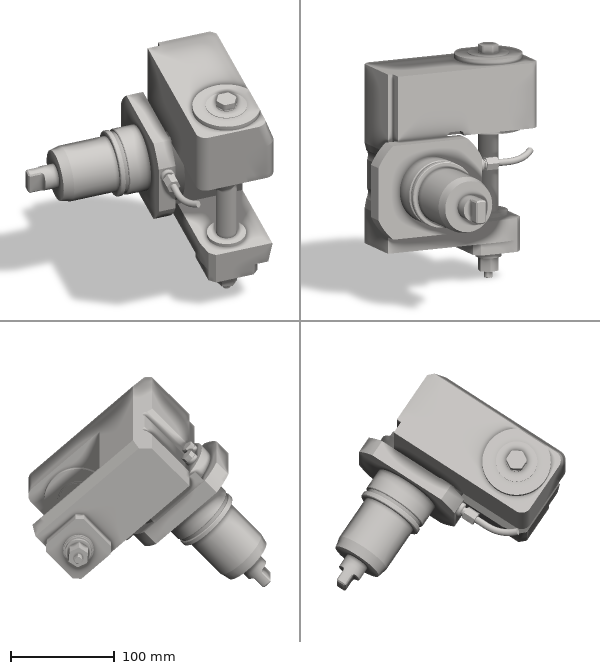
import cadquery as cq
import math


flange_width = 110.4
flange_height = 92.5
flange_thickness = 17.0
flange_corner_diameter = 121.8
disc_radius = 47.4
disc_thickness = 12.5

sleeve_radius = 65.0 / 2
groove_radius = 30.5
groove_start = -38.9
groove_end = -42.5
groove_lip = 0.7
sleeve_end = -47.5
barrel_radius = 55.0 / 2
taper_start = -93.5
taper_radius = 25.0
barrel_end = -103.5
shank_radius = 23.7 / 2
shank_end = -117.2
tip_end = -132.2
tang_thickness = 10.5
tang_chamfer = 1.4
tang_root_fillet = 2.0
tang_flat_height = 18.9
tang_edge_thickness = 7.4

body_left = -31.0
front_step_left = -26.2
step_fillet = 4.5
body_right = 124.8
body_back = 78.5
body_top = 110.0
arm_gap_top = 45.3
arm_gap_bottom = -45.3
arm_bottom = -67.0
spine_right = 26.2
corner_radius = 10.0
back_left_chamfer = 13.0
top_slope_start = 86.0
top_slope_run = 8.0
bottom_slope_start = -47.4
bottom_slope_run = 4.1
foot_left = -38.6
foot_bottom = -44.5
foot_top = -41.5
relief_width = 17.7
relief_top = 50.0
relief_radius = 4.1
relief_depth = 8.0

recess_half_height = 32.2
recess_knee_half_height = 24.0
recess_knee_x = -27.5
recess_groove_half_height = 18.6
recess_groove_x = -24.4
recess_wall_half_height = 14.0
recess_wall_x = -26.0

screw_x = -35.0
screw_z = 10.5
screw_collar_diameter = 13.0
screw_collar_end = 15.9
screw_head_corners = 12.9
upper_screw_turn = 37.0
lower_screw_turn = 0.0
screw_head_end = 21.0

column_x = 89.0
column_y = 40.2
column_diameter = 20.0
cap_diameter = 66.0
cap_top = 114.7
cap_bottom = 41.2
cap_bottom_right = 118.0
seat_diameter = 40.0
seat_top = 115.5
lower_seat_bottom = 40.0
lower_seat_step_bottom = 39.0
top_collar_end = 116.0
top_hex_corners = 20.5
top_hex_turn = 30.0
top_hex_round_diameter = 19.5
top_end = 123.0
lower_washer_diameter = 38.0
lower_washer_top = -40.2
lower_washer_bottom = -44.0
boss_diameter = 30.0

pad_size = 50.0
pad_x = 88.7
pad_bottom = -78.9
pad_chamfer = 5.7
arm_taper_start = 91.0

boss_straight_end = -81.0
boss_end_diameter = 28.0
boss_end = -82.5
nut_collar_diameter = 25.0
nut_collar_end = -85.8
nut_corners = 20.7
nut_turn = 17.0
nut_end = -99.8
pin_diameter = 8.0
pin_thickness = 6.5
pin_chamfer = 0.5
pin_end = -107.0

fitting_y = -8.5
fitting_z = 17.0
fitting_collar_diameter = 13.8
fitting_collar_end = 59.0
fitting_collar_chamfer = 1.0
fitting_neck_diameter = 8.0
fitting_ring_start = 61.2
fitting_ring_diameter = 10.0
fitting_nut_start = 62.3
fitting_nut_end = 74.5
fitting_nut_corners = 13.8
fitting_nut_turn = 10.0
hose_diameter = 6.7
hose_bend_start = 87.0
hose_bend_radius = 39.0
hose_bend_angle = math.radians(47.3)
hose_bend_tilt = math.radians(31.0)

overlap = 1.1
far = 459.8


def box(x0, x1, y0, y1, z0, z1):
    return cq.Workplane("XY").box(x1 - x0, y1 - y0, z1 - z0, centered=False).translate((x0, y0, z0))


def hexagon(corner_diameter, turn):
    """Corner points of a hexagon with its first corner at the given angle in degrees."""
    return [
        (
            corner_diameter / 2 * math.cos(math.radians(turn + 60 * k)),
            corner_diameter / 2 * math.sin(math.radians(turn + 60 * k)),
        )
        for k in range(6)
    ]


def column_cylinder(diameter, z0, z1):
    return cq.Workplane("XY", origin=(column_x, column_y, z0)).circle(diameter / 2).extrude(z1 - z0)


def column_hexagon(corner_diameter, turn, z0, z1):
    plane = cq.Workplane("XY", origin=(column_x, column_y, z0))
    return plane.polyline(hexagon(corner_diameter, turn)).close().extrude(z1 - z0)


def y_cylinder(diameter, x, z, y0, y1):
    return cq.Workplane("XZ", origin=(x, y1, z)).circle(diameter / 2).extrude(y1 - y0)


def make_flange():
    plate = box(-flange_width / 2, flange_width / 2, -flange_thickness, 0,
                -flange_height / 2, flange_height / 2)
    plate = plate.intersect(y_cylinder(flange_corner_diameter, 0, 0, -flange_thickness, 0))
    disc = y_cylinder(2 * disc_radius, 0, 0, -overlap, disc_thickness)
    return plate.union(disc.intersect(box(-far, far, -far, far, foot_bottom, -foot_bottom)))


def make_spindle():
    turned = (
        cq.Workplane("XY")
        .moveTo(0, -overlap)
        .lineTo(sleeve_radius, -overlap)
        .lineTo(sleeve_radius, groove_start + groove_lip)
        .lineTo(sleeve_radius - groove_lip, groove_start)
        .lineTo(groove_radius, groove_start)
        .lineTo(groove_radius, groove_end)
        .lineTo(sleeve_radius - groove_lip, groove_end)
        .lineTo(sleeve_radius, groove_end - groove_lip)
        .lineTo(sleeve_radius, sleeve_end + groove_lip)
        .lineTo(sleeve_radius - groove_lip, sleeve_end)
        .lineTo(barrel_radius, sleeve_end)
        .lineTo(barrel_radius, taper_start)
        .lineTo(taper_radius, barrel_end)
        .lineTo(shank_radius, barrel_end)
        .lineTo(shank_radius, tip_end + tang_chamfer)
        .lineTo(shank_radius - tang_chamfer, tip_end)
        .lineTo(0, tip_end)
        .close()
        .revolve(360, (0, 0, 0), (0, 1, 0))
    )
    for side in (-1, 1):
        flat = side * tang_thickness / 2
        cutter = (
            cq.Workplane("XY", origin=(0, 0, -shank_radius))
            .moveTo(flat - side * tang_chamfer, tip_end)
            .lineTo(flat, tip_end + tang_chamfer)
            .lineTo(flat, shank_end - tang_root_fillet)
            .radiusArc((flat + side * tang_root_fillet, shank_end), side * tang_root_fillet)
            .lineTo(side * 2 * shank_radius, shank_end)
            .lineTo(side * 2 * shank_radius, tip_end)
            .close()
            .extrude(2 * shank_radius)
        )
        turned = turned.cut(cutter)

    flat_x = tang_thickness / 2
    edge_x = tang_edge_thickness / 2
    flat_z = tang_flat_height / 2
    for x_sign in (-1, 1):
        for z_sign in (-1, 1):
            bevel = (
                cq.Workplane("XZ", origin=(0, shank_end - tang_root_fillet, 0))
                .polyline([
                    (x_sign * flat_x, z_sign * flat_z),
                    (x_sign * edge_x, z_sign * shank_radius),
                    (x_sign * flat_x, z_sign * shank_radius),
                ])
                .close()
                .extrude(shank_end - tang_root_fillet - tip_end)
            )
            turned = turned.cut(bevel)
    return turned


def make_housing():
    upper = box(body_left, body_right, 0, body_back, arm_gap_top, body_top)
    upper = upper.cut(make_back_slopes())
    upper = upper.faces(">X").edges("not |Y").fillet(corner_radius)
    spine = box(body_left, spine_right, 0, body_back, arm_bottom, body_top)

    pad_front = column_y - pad_size / 2
    pad_right = pad_x + pad_size / 2
    lower = (
        cq.Workplane("XY", origin=(0, 0, arm_bottom))
        .polyline([
            (body_left, disc_thickness),
            (arm_taper_start, disc_thickness),
            (pad_right - pad_chamfer, pad_front),
            (pad_right, pad_front + pad_chamfer),
            (pad_right, body_back),
            (body_left, body_back),
        ])
        .close()
        .extrude(arm_gap_bottom - arm_bottom)
    )
    housing = upper.union(spine).union(lower)

    housing = housing.cut(box(body_left, front_step_left, 0, disc_thickness, arm_bottom, body_top))
    housing = housing.cut(box(body_left, spine_right, 0, disc_thickness, arm_bottom, foot_bottom))

    bevel = (
        cq.Workplane("XY", origin=(0, 0, arm_bottom))
        .polyline([
            (body_left, body_back),
            (body_left + back_left_chamfer, body_back),
            (body_left, body_back - back_left_chamfer),
        ])
        .close()
        .extrude(body_top - arm_bottom)
    )
    return housing.cut(bevel)


def make_back_slopes():
    """Wedges that bevel the rear face at the top, up through the cap, and at the bottom."""
    top_lean = top_slope_run / (body_top - top_slope_start)
    cap_back = body_back - top_lean * (top_end - top_slope_start)
    profiles = (
        [(body_back, top_slope_start), (body_back, top_end), (cap_back, top_end)],
        [
            (body_back, bottom_slope_start),
            (body_back, arm_bottom),
            (body_back - bottom_slope_run, arm_bottom),
        ],
    )
    wedges = [cq.Workplane("YZ").polyline(p).close().extrude(far, both=True) for p in profiles]
    return wedges[0].union(wedges[1])


def make_side_recess():
    """Recess in the left face: sloped flanks, a round groove on each side and a flat wall."""
    profile = (
        cq.Workplane("XZ", origin=(0, body_back, 0))
        .moveTo(body_left, -recess_half_height)
        .lineTo(recess_knee_x, -recess_knee_half_height)
        .threePointArc((recess_groove_x, -recess_groove_half_height),
                       (recess_wall_x, -recess_wall_half_height))
        .lineTo(recess_wall_x, recess_wall_half_height)
        .threePointArc((recess_groove_x, recess_groove_half_height),
                       (recess_knee_x, recess_knee_half_height))
        .lineTo(body_left, recess_half_height)
        .close()
    )
    return profile.extrude(body_back - disc_thickness)


def make_corner_relief():
    """Round-cornered slot under the upper arm, beside the spine."""
    slot = box(spine_right, spine_right + relief_width, 0, relief_depth,
               relief_top - 2 * relief_radius, relief_top)
    return slot.edges("|Y and >Z").fillet(relief_radius)


def make_step_fillet():
    """Concave fillet between the front step and the locating disc."""
    reach = disc_radius + step_fillet
    center_x = front_step_left - step_fillet
    center_z = math.sqrt(reach**2 - center_x**2)
    scale = disc_radius / reach
    fill = (
        cq.Workplane("XZ", origin=(0, disc_thickness, 0))
        .polyline([
            (front_step_left, center_z),
            (center_x, center_z),
            (center_x * scale, center_z * scale),
            (front_step_left, center_z * scale),
        ])
        .close()
        .extrude(disc_thickness)
    )
    return fill.cut(y_cylinder(2 * step_fillet, center_x, center_z, 0, disc_thickness))


def make_foot():
    """Shallow wedge under the locating disc."""
    return (
        cq.Workplane("XZ", origin=(0, disc_thickness, 0))
        .polyline([
            (foot_left, foot_bottom),
            (front_step_left, foot_top),
            (0, foot_top),
            (0, foot_bottom),
        ])
        .close()
        .extrude(disc_thickness)
    )


def make_screw(z, turn):
    collar = y_cylinder(screw_collar_diameter, screw_x, z, 0, screw_collar_end)
    head = (
        cq.Workplane("XZ", origin=(screw_x, screw_head_end, z))
        .polyline(hexagon(screw_head_corners, turn))
        .close()
        .extrude(screw_head_end)
    )
    return collar.union(head)


def make_column():
    column = column_cylinder(column_diameter, arm_bottom, body_top)

    column = column.union(column_cylinder(cap_diameter, body_top - overlap, cap_top))
    column = column.union(column_cylinder(seat_diameter, body_top, seat_top))
    column = column.union(column_cylinder(column_diameter, body_top, top_collar_end))
    head = column_hexagon(top_hex_corners, top_hex_turn, body_top, top_end)
    head = head.intersect(column_cylinder(top_hex_round_diameter, body_top, top_end))
    column = column.union(head)

    cap = column_cylinder(cap_diameter, cap_bottom, arm_gap_top + overlap)
    cap = cap.intersect(box(-far, cap_bottom_right, -far, far, -far, far))
    column = column.union(cap)
    column = column.union(column_cylinder(seat_diameter, lower_seat_bottom, arm_gap_top))
    column = column.union(column_cylinder(lower_washer_diameter, lower_seat_step_bottom, arm_gap_top))

    column = column.union(column_cylinder(lower_washer_diameter, lower_washer_bottom, lower_washer_top))
    return column.union(column_cylinder(boss_diameter, arm_bottom, lower_washer_bottom))


def make_adjuster():
    pad = (
        cq.Workplane("XY", origin=(pad_x, column_y, pad_bottom))
        .rect(pad_size, pad_size)
        .extrude(arm_bottom + overlap - pad_bottom)
        .edges("|Z")
        .chamfer(pad_chamfer)
    )
    adjuster = pad.union(column_cylinder(boss_diameter, boss_straight_end, pad_bottom))
    adjuster = adjuster.union(column_cylinder(boss_end_diameter, boss_end, pad_bottom))
    adjuster = adjuster.union(column_cylinder(nut_collar_diameter, nut_collar_end, pad_bottom))
    adjuster = adjuster.union(column_hexagon(nut_corners, nut_turn, nut_end, pad_bottom))
    pin = column_cylinder(pin_diameter, pin_end, pad_bottom).faces("<Z").chamfer(pin_chamfer)
    half = pin_thickness / 2
    pin = pin.intersect(box(-far, far, column_y - half, column_y + half, -far, far))
    return adjuster.union(pin)


def make_fitting():
    def along_x(x):
        return cq.Workplane("YZ", origin=(x, fitting_y, fitting_z))

    inside = flange_width / 2 - overlap
    collar = along_x(inside).circle(fitting_collar_diameter / 2).extrude(fitting_collar_end - inside)
    fitting = collar.faces(">X").edges().chamfer(fitting_collar_chamfer)
    neck = along_x(inside).circle(fitting_neck_diameter / 2).extrude(fitting_nut_end - inside)
    ring_length = fitting_nut_start - fitting_ring_start
    ring = along_x(fitting_ring_start).circle(fitting_ring_diameter / 2).extrude(ring_length)
    nut = (
        along_x(fitting_nut_start)
        .polyline(hexagon(fitting_nut_corners, -fitting_nut_turn))
        .close()
        .extrude(fitting_nut_end - fitting_nut_start)
    )

    def bend_point(angle):
        offset = hose_bend_radius * (1 - math.cos(angle))
        return cq.Vector(
            hose_bend_start + hose_bend_radius * math.sin(angle),
            fitting_y + offset * math.cos(hose_bend_tilt),
            fitting_z + offset * math.sin(hose_bend_tilt),
        )

    start = cq.Vector(fitting_nut_start, fitting_y, fitting_z)
    line = cq.Edge.makeLine(start, bend_point(0))
    arc = cq.Edge.makeThreePointArc(bend_point(0), bend_point(hose_bend_angle / 2),
                                    bend_point(hose_bend_angle))
    path = cq.Workplane("XY").newObject([cq.Wire.assembleEdges([line, arc])])
    hose = along_x(fitting_nut_start).circle(hose_diameter / 2).sweep(path)
    return fitting.union(neck).union(ring).union(nut).union(hose)


housing = make_housing().cut(make_side_recess()).cut(make_corner_relief())
result = housing.union(make_column()).cut(make_back_slopes())
features = (
    make_flange(),
    make_spindle(),
    make_step_fillet(),
    make_foot(),
    make_adjuster(),
    make_fitting(),
    make_screw(screw_z, upper_screw_turn),
    make_screw(-screw_z, lower_screw_turn),
)
for feature in features:
    result = result.union(feature)